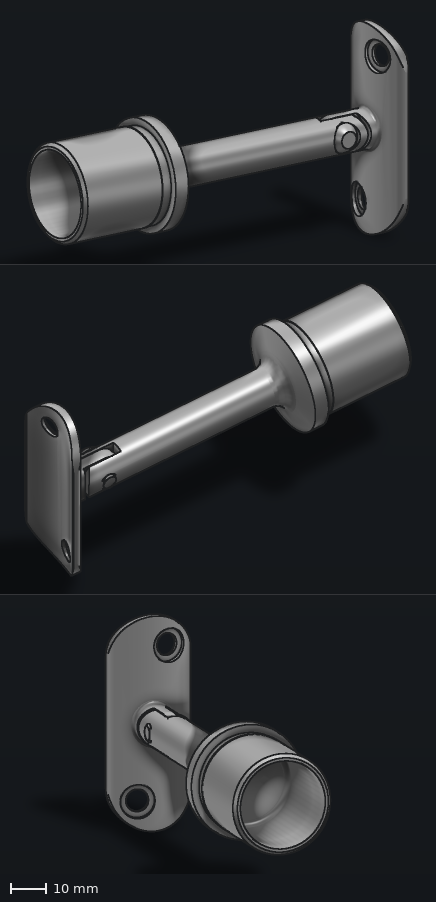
import cadquery as cq
import math


total_length = 114.3

pick_margin = 1.1

plate_height = 63.0
plate_width = 25.3
plate_thickness = 2.6
rail_radius = 21.3
saddle_depth = 3.5
plate_edge_fillet = 2.5
plate_outer_radius = rail_radius + plate_thickness
half_plate_width = plate_width / 2
plate_inner_y = total_length - saddle_depth
rail_axis_y = plate_inner_y + rail_radius
plate_outer_y = plate_inner_y - plate_thickness

screw_hole_diameter = 6.5
counterbore_diameter = 10.0
counterbore_depth = 1.6
screw_hole_z = 22.5
screw_hole_angle = 11.6

stem_radius = 12.0 / 2
neck_fillet = 1.0
neck_clearance_radius = 8.3
stem_end_radius = 7.2
tongue_width = 3.5
slot_width = 4.0
slot_floor_y = 91.2
tongue_end_fillet = 5.4

pin_y = 97.6
pin_diameter = 5.5
pin_tip_x = -6.1
pin_tip_diameter = 4.2
head_diameter = 9.0
head_seat_x = 3.4
head_shoulder_x = 4.3
head_top_x = 6.9
head_top_diameter = 5.0
head_dome_x = 5.6
head_dome_radius = 3.8

flange_radius = 33.7 / 2
flange_bottom_y = 30.2
flange_top_y = 34.6
flare_angle = 14.5
flare_fillet = 4.8
plug_radius = 29.6 / 2
plug_chamfer = 1.0
relief_radius = 29.1 / 2
relief_start_y = 27.1
bore_radius = 25.7 / 2
bore_floor_y = flange_bottom_y
bore_floor_fillet = 1.7
floor_dome_height = 1.1


def cylinder_y(radius, start_y, end_y):
    """Solid cylinder on the Y axis between two Y positions."""
    start = cq.Vector(0, start_y, 0)
    return cq.Workplane(cq.Solid.makeCylinder(radius, end_y - start_y, start, cq.Vector(0, 1, 0)))


def cylinder_x(diameter, start_x, end_x):
    """Solid cylinder on the pin axis between two X positions."""
    start = cq.Vector(start_x, pin_y, 0)
    return cq.Workplane(cq.Solid.makeCylinder(diameter / 2, end_x - start_x, start, cq.Vector(1, 0, 0)))


def swivel_block(radius):
    """Part of the stem end that lies below a round end centred on the pin axis."""
    lower = cylinder_y(2 * stem_radius, slot_floor_y - stem_radius, pin_y)
    return lower.union(cylinder_x(2 * radius, -2 * stem_radius, 2 * stem_radius))


def centre_slab(width):
    """Slab across the pin axis, from the slot floor to the plate."""
    depth = total_length - slot_floor_y
    return cq.Workplane("XY").box(width, depth, plate_height).translate((0, slot_floor_y + depth / 2, 0))


def make_plate_blank():
    """Bent strip with flat rims, rounded long edges and semicircular ends."""
    half_height = plate_height / 2
    inner_half_width = math.sqrt(rail_radius**2 - (rail_axis_y - total_length) ** 2)
    side_outer_y = rail_axis_y - math.sqrt(plate_outer_radius**2 - half_plate_width**2)
    strip = (
        cq.Workplane("XY")
        .workplane(offset=-half_height)
        .moveTo(-half_plate_width, total_length)
        .lineTo(-inner_half_width, total_length)
        .threePointArc((0, plate_inner_y), (inner_half_width, total_length))
        .lineTo(half_plate_width, total_length)
        .lineTo(half_plate_width, side_outer_y)
        .threePointArc((0, plate_outer_y), (-half_plate_width, side_outer_y))
        .close()
        .extrude(plate_height)
    )
    outer_edges = cq.selectors.BoxSelector(
        (-plate_width, side_outer_y - pick_margin, -plate_height),
        (plate_width, side_outer_y + pick_margin, plate_height),
    )
    strip = strip.edges("|Z").edges(outer_edges).fillet(plate_edge_fillet)
    outline = (
        cq.Workplane("XZ")
        .slot2D(plate_height, plate_width, 90)
        .extrude(-2 * total_length)
    )
    return strip.intersect(outline)


def cut_screw_holes(plate):
    """Two counterbored holes, one high on +X and one low on -X."""
    drill_lead = plate_thickness
    for side in (1, -1):
        angle = math.radians(side * screw_hole_angle)
        inward = cq.Vector(-math.sin(angle), math.cos(angle), 0)
        rail_axis = cq.Vector(0, rail_axis_y, side * screw_hole_z)
        start = rail_axis - inward * (plate_outer_radius + drill_lead)
        hole_length = drill_lead + 2 * plate_thickness
        counterbore_length = drill_lead + counterbore_depth
        hole = cq.Solid.makeCylinder(screw_hole_diameter / 2, hole_length, start, inward)
        counterbore = cq.Solid.makeCylinder(counterbore_diameter / 2, counterbore_length, start, inward)
        plate = plate.cut(cq.Workplane(hole)).cut(cq.Workplane(counterbore))
    return plate


def make_saddle():
    """Saddle plate with its neck and the tongue that enters the stem."""
    plate = make_plate_blank()
    neck = cylinder_y(stem_radius, slot_floor_y, plate_inner_y - plate_thickness / 2)
    neck = neck.faces("<Y").edges().fillet(tongue_end_fillet)
    saddle = plate.union(neck)
    neck_joint = cq.selectors.BoxSelector(
        (-stem_radius, plate_outer_y - pick_margin, -stem_radius),
        (stem_radius, plate_outer_y + pick_margin, stem_radius),
    )
    saddle = saddle.edges(neck_joint).fillet(neck_fillet)
    cheek_space = swivel_block(neck_clearance_radius).cut(centre_slab(tongue_width))
    saddle = cut_screw_holes(saddle.cut(cheek_space))
    return saddle.cut(cylinder_x(pin_diameter, -head_top_x, head_top_x))


def make_post():
    """Socket plug, flange, flared stem and the forked stem end, turned about the Y axis."""
    flare_corner_y = flange_top_y + (flange_radius - stem_radius) * math.tan(math.radians(flare_angle))
    profile = [
        (0, 0),
        (plug_radius - plug_chamfer, 0),
        (plug_radius, plug_chamfer),
        (plug_radius, relief_start_y),
        (relief_radius, relief_start_y),
        (relief_radius, flange_bottom_y),
        (flange_radius, flange_bottom_y),
        (flange_radius, flange_top_y),
        (stem_radius, flare_corner_y),
        (stem_radius, total_length),
        (0, total_length),
    ]
    post = cq.Workplane("XY").polyline(profile).close().revolve(360, (0, 0), (0, 1))
    flare_edge = cq.selectors.BoxSelector(
        (-flange_radius, flare_corner_y - pick_margin, -flange_radius),
        (flange_radius, flare_corner_y + pick_margin, flange_radius),
    )
    post = post.edges(flare_edge).fillet(flare_fillet)
    post = post.cut(make_bore())
    beyond_end = cylinder_y(2 * stem_radius, slot_floor_y, total_length).cut(swivel_block(stem_end_radius))
    post = post.cut(beyond_end).cut(centre_slab(slot_width))
    post = post.cut(make_pin())
    return post.cut(cylinder_x(head_diameter, head_seat_x, 2 * head_top_x))


def make_bore():
    """Socket bore with a filleted rim and a shallow domed floor."""
    floor_radius = bore_radius - bore_floor_fillet
    dome_radius = (floor_radius**2 + floor_dome_height**2) / (2 * floor_dome_height)
    mid_radius = floor_radius / 2
    mid_rise = math.sqrt(dome_radius**2 - mid_radius**2) - (dome_radius - floor_dome_height)
    fillet_mid = bore_floor_fillet * math.sqrt(0.5)
    fillet_start_y = bore_floor_y - bore_floor_fillet
    return (
        cq.Workplane("XY")
        .lineTo(bore_radius, 0)
        .lineTo(bore_radius, fillet_start_y)
        .threePointArc(
            (floor_radius + fillet_mid, fillet_start_y + fillet_mid),
            (floor_radius, bore_floor_y),
        )
        .threePointArc((mid_radius, bore_floor_y + mid_rise), (0, bore_floor_y + floor_dome_height))
        .close()
        .revolve(360, (0, 0), (0, 1))
    )


def make_pin():
    """Pivot pin with a chamfered tip at -X and a domed head at +X."""
    pin_radius = pin_diameter / 2
    tip_radius = pin_tip_diameter / 2
    return (
        cq.Workplane("XY", origin=(0, pin_y, 0))
        .moveTo(pin_tip_x, 0)
        .lineTo(pin_tip_x, tip_radius)
        .lineTo(pin_tip_x + pin_radius - tip_radius, pin_radius)
        .lineTo(head_seat_x, pin_radius)
        .lineTo(head_seat_x, head_diameter / 2)
        .lineTo(head_shoulder_x, head_diameter / 2)
        .threePointArc((head_dome_x, head_dome_radius), (head_top_x, head_top_diameter / 2))
        .lineTo(head_top_x, 0)
        .close()
        .revolve(360, (0, 0), (1, 0))
    )


saddle = make_saddle()
post = make_post()
pin = make_pin()

result = cq.Compound.makeCompound([saddle.solids().val(), post.solids().val(), pin.val()])